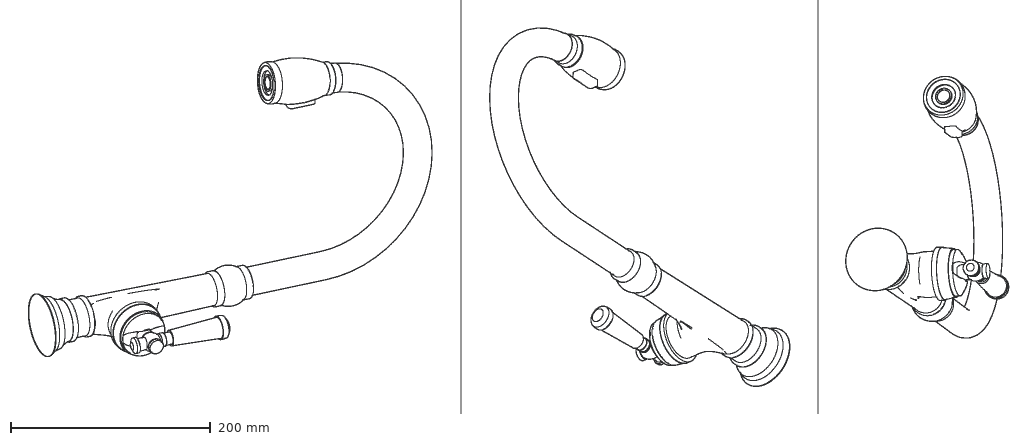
import math

import cadquery as cq

base_radius = 32.0
base_lip = 0.8
foot_radius = 28.4
foot_end = 6.5
foot_step_radius = 27.0
foot_step_end = 13.0
bell_top_radius = 21.5
bell_end = 24.8
bell_sag = 1.0
lower_ring_radius = 22.4
lower_ring_end = 30.5
plinth_radius = 19.4
plinth_end = 44.0
middle_ring_radius = 20.9
middle_ring_end = 49.5
column_bottom_radius = 18.6
column_top_radius = 16.6
column_end = 186.5
upper_ring_radius = 18.1
upper_ring_end = 194.3
knob_radius = 20.8
knob_center = 206.2
neck_ring_start = 218.5
neck_ring_radius = 17.2
neck_ring_end = 226.5

tube_radius = 14.5
bend_start = 311.15
overall_length = 430.04
bend_radius = overall_length - bend_start - tube_radius
head_tilt = 7.8
tilt_angle = math.radians(head_tilt)

head_neck_radius = 14.9
collar_start = 8.0
collar_radius = 16.8
collar_end = 14.8
body_mid_radius = 23.2
body_mid = 45.0
body_end_radius = 20.6
body_end = 70.0
lip_radius = 21.4
lip_end = 77.8
face_recess_radius = 17.5
face_recess_depth = 1.0
groove_outer_radius = 12.3
groove_inner_radius = 8.3
groove_depth = 2.0
nozzle_radius = 6.5
nozzle_step = 0.8

button_length = 29.5
button_width = 12.0
button_center_y = 286.0
button_bottom_z = 186.3
button_height = 14.0
button_corner = 4.0
button_edge = 0.8

valve_y = 83.6
boss_radius = 23.0
boss_end = 41.3
flange_radius = 26.8
flange_end = 46.5
cover_radius = 26.2
cover_end_radius = 24.6
cover_end = 58.0
dome_radius = 23.4
dome_start = 62.3
dome_end_radius = 9.5
dome_end = 69.8
dome_sag = 0.9
stem_radius = 7.8
stem_end = 73.0
slot_radius = 8.4

flare_start = 2.0
flare_end = 27.0
flare_reach = 90.0
flare_length = 106.0
flare_start_half_height = 17.0
flare_steps = 5

handle_x = 80.2
ball_radius = 9.6
ball_end_radius = 6.4
ball_half_width = 8.0
cap_radius = 7.4
overall_width = 124.68
cap_start = handle_x + ball_half_width
cap_end = overall_width - base_radius
tail_tip = 21.6
tail_tip_radius = 4.0
tail_flange_radius = 8.1
tail_flange_outer = 19.1
tail_flange_inner = 16.0
handle_neck_radius = 6.4
handle_ring_radius = 7.0
handle_ring_start = 9.2
handle_ring_end = 13.7
grip_start = 20.8
grip_start_radius = 8.1
grip_end_radius = 10.9
grip_end = 74.0
grip_band_radius = 12.1
grip_band_round_start = 77.4
grip_band_round_radius = 11.6
grip_band_end = 80.2
grip_top = 83.5
grip_top_radius = 7.0

ring_round = 1.3


def turning_plane(origin, radial, axis):
    """Plane whose local x is the radius and local y the turning axis."""
    normal = cq.Vector(*radial).cross(cq.Vector(*axis))
    return cq.Plane(origin=origin, xDir=radial, normal=normal.toTuple())


def turn(profile):
    """Close a profile that starts and ends on the axis and revolve it."""
    return profile.close().revolve(360, (0, 0, 0), (0, 1, 0))


def ring(plane, radius, start, end):
    """Turned ring with rounded outer edges."""
    blank = cq.Workplane(plane).polyline([(0, start), (radius, start), (radius, end), (0, end)])
    return turn(blank).edges().fillet(ring_round)


def make_column():
    plane = turning_plane((0, 0, 0), (1, 0, 0), (0, 1, 0))
    profile = (
        cq.Workplane(plane)
        .lineTo(base_radius, 0)
        .lineTo(base_radius, base_lip)
        .lineTo(foot_radius, foot_end)
        .lineTo(foot_step_radius, foot_step_end)
        .sagittaArc((bell_top_radius, bell_end), bell_sag)
        .lineTo(plinth_radius, bell_end)
        .lineTo(plinth_radius, plinth_end)
        .lineTo(column_bottom_radius, middle_ring_end)
        .lineTo(column_top_radius, column_end)
        .lineTo(column_top_radius, neck_ring_start)
        .lineTo(0, neck_ring_start)
    )
    knob = cq.Workplane("XY").sphere(knob_radius).translate((0, knob_center, 0))
    column = turn(profile).union(knob)
    rings = [
        (lower_ring_radius, bell_end, lower_ring_end),
        (middle_ring_radius, plinth_end, middle_ring_end),
        (upper_ring_radius, column_end, upper_ring_end),
        (neck_ring_radius, neck_ring_start, neck_ring_end),
    ]
    for radius, start, end in rings:
        column = column.union(ring(plane, radius, start, end))
    return column


def bend_point(angle):
    """Point (y, z) of the bend's centreline, by angle from its start."""
    y = bend_start + bend_radius * math.sin(angle)
    z = bend_radius * (1 - math.cos(angle))
    return y, z


def make_spout():
    path = (
        cq.Workplane("YZ")
        .moveTo(knob_center, 0)
        .lineTo(bend_start, 0)
        .threePointArc(bend_point(math.pi / 2), bend_point(math.pi - tilt_angle))
    )
    return cq.Workplane("XZ", origin=(0, knob_center, 0)).circle(tube_radius).sweep(path)


def make_spray_head():
    start_y, start_z = bend_point(math.pi - tilt_angle)
    axis = (0, -math.cos(tilt_angle), math.sin(tilt_angle))
    plane = turning_plane((0, start_y, start_z), (1, 0, 0), axis)
    recess_floor = lip_end - face_recess_depth
    groove_floor = recess_floor - groove_depth
    profile = (
        cq.Workplane(plane)
        .lineTo(head_neck_radius, 0)
        .lineTo(head_neck_radius, collar_end)
        .lineTo(collar_radius, collar_end)
        .threePointArc((body_mid_radius, body_mid), (body_end_radius, body_end))
        .threePointArc((lip_radius, (body_end + lip_end) / 2), (body_end_radius, lip_end))
        .lineTo(face_recess_radius, lip_end)
        .lineTo(face_recess_radius, recess_floor)
        .lineTo(groove_outer_radius, recess_floor)
        .lineTo(groove_outer_radius, groove_floor)
        .lineTo(groove_inner_radius, groove_floor)
        .lineTo(groove_inner_radius, recess_floor)
        .lineTo(nozzle_radius, recess_floor)
        .lineTo(nozzle_radius, recess_floor - nozzle_step)
        .lineTo(0, recess_floor - nozzle_step)
    )
    return turn(profile).union(ring(plane, collar_radius, collar_start, collar_end))


def make_button():
    return (
        cq.Workplane("XY", origin=(0, button_center_y, button_bottom_z))
        .rect(button_width, button_length)
        .extrude(button_height)
        .edges("|Z")
        .fillet(button_corner)
        .faces("<Z")
        .edges()
        .fillet(button_edge)
    )


def make_valve():
    plane = turning_plane((0, valve_y, 0), (0, 1, 0), (1, 0, 0))
    profile = (
        cq.Workplane(plane)
        .moveTo(0, flare_end)
        .lineTo(boss_radius, flare_end)
        .lineTo(boss_radius, boss_end)
        .lineTo(flange_radius, boss_end)
        .lineTo(flange_radius, flange_end)
        .lineTo(cover_radius, flange_end)
        .lineTo(cover_end_radius, cover_end)
        .lineTo(dome_radius, cover_end)
        .lineTo(dome_radius, dome_start)
        .sagittaArc((dome_end_radius, dome_end), -dome_sag)
        .lineTo(0, dome_end)
    )
    slot = (
        cq.Workplane("XZ", origin=(dome_end, valve_y, 0))
        .circle(slot_radius)
        .extrude(boss_radius, both=True)
    )
    stem_plane = cq.Workplane("YZ", origin=(dome_start, valve_y, 0))
    stem = stem_plane.circle(stem_radius).extrude(stem_end - dome_start)
    return turn(profile).cut(slot).union(stem)


def flare_section(x):
    """Elliptical section of the flare at a distance x from the column axis."""
    back = (flare_end - x) / (flare_end - flare_start)
    half_width = boss_radius + flare_reach * back**2
    half_height = boss_radius - (boss_radius - flare_start_half_height) * back
    center = cq.Vector(x, valve_y, 0)
    return cq.Wire.makeEllipse(half_width, half_height, center, cq.Vector(1, 0, 0), cq.Vector(0, 1, 0))


def make_flare():
    """Flare widening towards the column; its far ends are trimmed off inside the column."""
    step = (flare_end - flare_start) / flare_steps
    sections = [flare_section(flare_start + i * step) for i in range(flare_steps + 1)]
    flare = cq.Workplane(cq.Solid.makeLoft(sections))
    trim = cq.Workplane("YZ", origin=(0, valve_y, 0)).rect(flare_length, flare_length)
    return flare.intersect(trim.extrude(boss_end))


def make_handle():
    plane = turning_plane((handle_x, valve_y, 0), (1, 0, 0), (0, 1, 0))
    profile = (
        cq.Workplane(plane)
        .moveTo(0, -tail_tip)
        .lineTo(tail_tip_radius, -tail_tip)
        .lineTo(tail_flange_radius, -tail_flange_outer)
        .lineTo(tail_flange_radius, -tail_flange_inner)
        .lineTo(handle_neck_radius, -tail_flange_inner)
        .lineTo(handle_neck_radius, handle_ring_start)
        .lineTo(handle_ring_radius, handle_ring_start)
        .lineTo(handle_ring_radius, handle_ring_end)
        .lineTo(handle_neck_radius, handle_ring_end)
        .lineTo(handle_neck_radius, grip_start)
        .lineTo(grip_start_radius, grip_start)
        .lineTo(grip_end_radius, grip_end)
        .lineTo(grip_band_radius, grip_end)
        .lineTo(grip_band_radius, grip_band_round_start)
        .lineTo(grip_band_round_radius, grip_band_end)
        .lineTo(grip_top_radius, grip_top)
        .lineTo(0, grip_top)
    )
    ball_plane = turning_plane((handle_x, valve_y, 0), (0, 1, 0), (1, 0, 0))
    ball_profile = (
        cq.Workplane(ball_plane)
        .moveTo(0, -ball_half_width)
        .lineTo(ball_end_radius, -ball_half_width)
        .threePointArc((ball_radius, 0), (ball_end_radius, ball_half_width))
        .lineTo(0, ball_half_width)
    )
    cap = cq.Workplane("YZ", origin=(cap_start, valve_y, 0)).circle(cap_radius).extrude(cap_end - cap_start)
    return turn(profile).union(turn(ball_profile)).union(cap)


result = make_column()
for piece in (make_spout(), make_spray_head(), make_button(), make_flare(), make_valve(), make_handle()):
    result = result.union(piece)